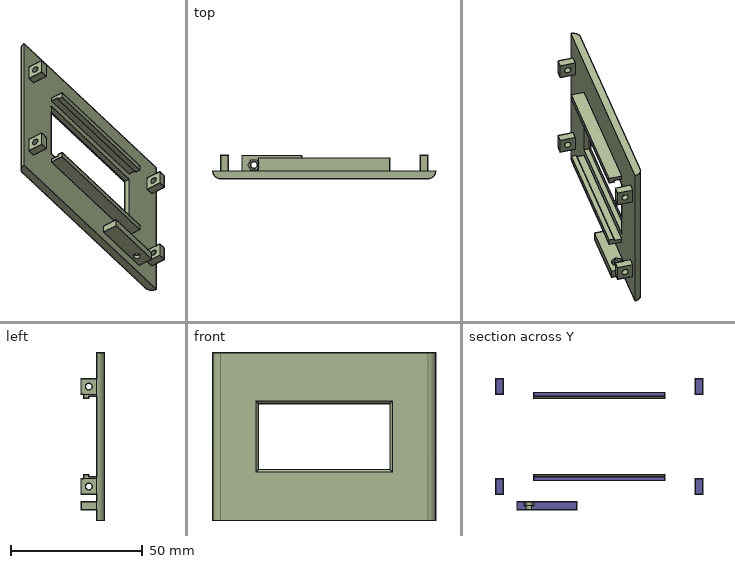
import cadquery as cq

plate_width = 85
plate_height = 64.0
total_depth = 9.0
plate_thickness = total_depth / 3

window_width = 50.0
window_height = 25.0
bevel_width = 1.0
bevel_depth = 1.0

rail_length = window_width
rail_depth = 5.0
rail_inner_z = 15.3
rail_thickness = 1.5
hook_depth = 2.0
hook_reach = 0.8

post_depth = total_depth - plate_thickness
post_height = post_depth
post_width = plate_thickness
post_x = plate_width / 2 - plate_thickness - post_width / 2
post_z = 19.0
screw_hole_diameter = 2.5

lug_left = -31.4
lug_right = -8.5
lug_top = -24.8
lug_thickness = 3.15
lug_depth = 5.95
nut_x = -26.8
nut_offset = 2.3
nut_across_corners = 4.6
nut_trap_depth = 1.5


def box(x_range, y_range, z_range):
    """Box spanning the given (low, high) ranges."""
    spans = (x_range, y_range, z_range)
    sizes = [high - low for low, high in spans]
    corner = tuple(low for low, high in spans)
    return cq.Workplane("XY").box(*sizes, centered=False).translate(corner)


def face_plate():
    """Flat plate whose left and right front edges are rounded through the full thickness."""
    half_width = plate_width / 2
    flat_half = half_width - plate_thickness
    right_half = (
        cq.Workplane("XY", origin=(0, 0, -plate_height / 2))
        .lineTo(flat_half, 0)
        .tangentArcPoint((half_width, plate_thickness), relative=False)
        .lineTo(0, plate_thickness)
        .close()
        .extrude(plate_height)
    )
    return right_half.union(right_half.mirror("YZ")).clean()


def window_cutter():
    """Through opening plus the tapered bevel at the front face."""
    opening = cq.Workplane("XY").box(
        window_width, plate_thickness, window_height, centered=(True, False, True)
    )
    bevel = (
        cq.Workplane("XZ")
        .rect(window_width + 2 * bevel_width, window_height + 2 * bevel_width)
        .workplane(offset=-bevel_depth)
        .rect(window_width, window_height)
        .loft(ruled=True)
    )
    return opening.union(bevel)


def upper_rail():
    """Wall behind the plate with a hook reaching towards the window."""
    x_range = (-rail_length / 2, rail_length / 2)
    back = plate_thickness + rail_depth
    wall = box(x_range, (plate_thickness, back), (rail_inner_z, rail_inner_z + rail_thickness))
    hook = box(x_range, (back - hook_depth, back), (rail_inner_z - hook_reach, rail_inner_z))
    return wall.union(hook)


def post(x, z):
    """Corner post with a screw hole along X."""
    block = cq.Workplane("XY").box(post_width, post_depth, post_height)
    hole = cq.Workplane("YZ").circle(screw_hole_diameter / 2).extrude(post_width, both=True)
    return block.cut(hole).translate((x, plate_thickness + post_depth / 2, z))


def nut_lug():
    """Lug with a vertical screw hole and a hexagonal nut trap in its top."""
    block = box(
        (lug_left, lug_right),
        (plate_thickness, plate_thickness + lug_depth),
        (lug_top - lug_thickness, lug_top),
    )
    axis = cq.Workplane("XY", origin=(nut_x, plate_thickness + nut_offset, lug_top))
    hole = axis.circle(screw_hole_diameter / 2).extrude(-lug_thickness)
    trap = axis.polygon(6, nut_across_corners).extrude(-nut_trap_depth)
    return block.cut(hole).cut(trap)


rail = upper_rail()
result = face_plate().cut(window_cutter())
result = result.union(rail).union(rail.mirror("XY")).union(nut_lug())
for x in (-post_x, post_x):
    for z in (-post_z, post_z):
        result = result.union(post(x, z))